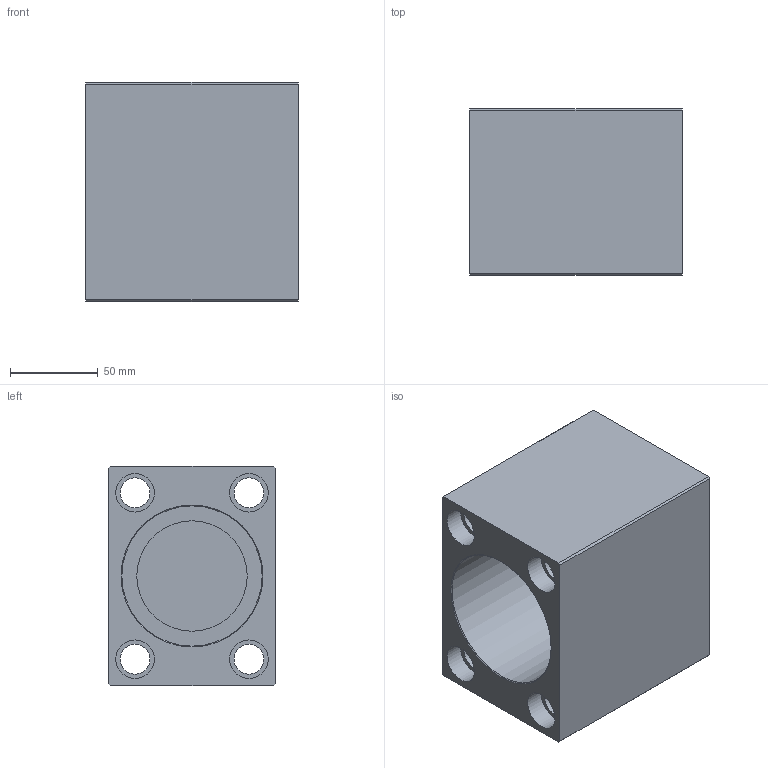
import cadquery as cq

length = 121.0
width = 95.0
height = 125.0
edge_chamfer = 1.0

bore_diameter = 80.0
bore_chamfer = 0.5
bore_depth = 96.0

recess_diameter = 63.0
recess_depth = 5.0

hole_spacing_y = 65.0
hole_spacing_z = 95.0
hole_diameter = 17.0
counterbore_diameter = 22.0
counterbore_depth = 11.0

front_x = -length / 2


def make_block():
    """Rectangular block with its four lengthwise edges chamfered."""
    return cq.Workplane("XY").box(length, width, height).edges("|X").chamfer(edge_chamfer)


def cut_bore(body):
    """Blind bore with a smaller recess in its floor and a chamfered mouth."""
    mouth = cq.Workplane("YZ", origin=(front_x, 0, 0))
    bore = mouth.circle(bore_diameter / 2).extrude(bore_depth)
    recess = mouth.circle(recess_diameter / 2).extrude(bore_depth + recess_depth)
    mouth_radius = bore_diameter / 2 + bore_chamfer
    chamfer_cone = mouth.circle(mouth_radius).workplane(offset=bore_chamfer)
    chamfer_cone = chamfer_cone.circle(bore_diameter / 2).loft(combine=True)
    return body.cut(bore).cut(recess).cut(chamfer_cone)


def cut_mounting_holes(body):
    """Four through holes, counterbored from the -X face."""
    return (
        body.faces("<X")
        .workplane(centerOption="CenterOfBoundBox")
        .rarray(hole_spacing_y, hole_spacing_z, 2, 2)
        .cboreHole(hole_diameter, counterbore_diameter, counterbore_depth)
    )


result = cut_mounting_holes(cut_bore(make_block()))